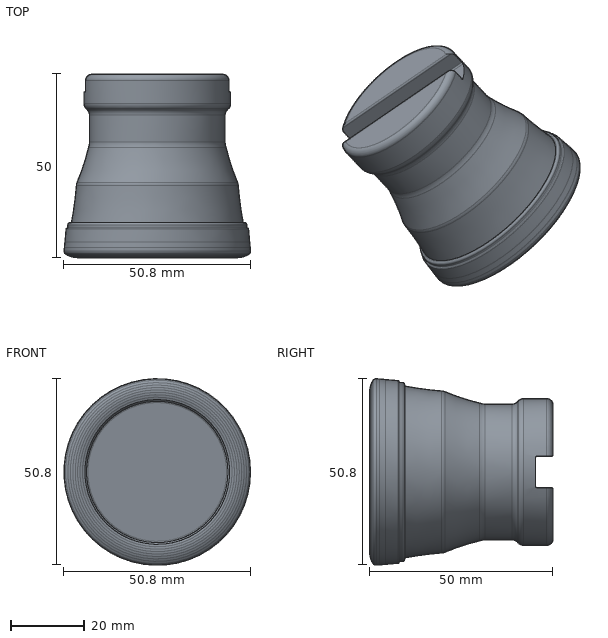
import cadquery as cq
import math

LENGTH = 50.01

COLLAR_RADIUS = 40.0 / 2
NECK_RADIUS = 37.0 / 2
BACK_EDGE_RADIUS = 1.8
COLLAR_FRONT_Y = 42.0
COLLAR_BLEND_RADIUS = 2.0
SHOULDER_ANGLE = math.radians(45)
NECK_FRONT_Y = 31.5

FLARE_BACK = (30.0, 18.78)
FLARE_MIDDLE = (25.3, 20.1)
FLARE_FRONT = (20.5, 21.9)
SKIRT_BACK = (19.65, 22.08)
SKIRT_MIDDLE = (14.75, 22.6)
SKIRT_FRONT = (9.6, 23.42)

STEP_RADIUS = 24.42
STEP_FRONT_Y = 8.05
STEP_EDGE_RADIUS = 0.7
STEP_ROOT_RADIUS = 0.2
RIM_BACK_RADIUS = 24.9
RIM_EDGE_RADIUS = RIM_BACK_RADIUS - STEP_RADIUS - STEP_ROOT_RADIUS
RIM_BAND_BACK = (4.35, 25.2)
RIM_BAND_FRONT = (2.77, 25.36)
RIM_FRONT = (1.85, 25.415)

LIP_CREST_RADIUS = 21.7
LIP_ROUND_RADIUS = 6.0
LIP_RING_WIDTH = 0.66
LIP_RINGS_OUTSIDE_CREST = 5
LIP_RINGS_INSIDE_CREST = 3
RECESS_SLOPE_RADIUS = 19.25
RECESS_RADIUS = 18.9
RECESS_SLOPE_Y = 0.75
RECESS_Y = 0.85

NOTCH_WIDTH = 8.5
NOTCH_DEPTH = 4.8
NOTCH_FLOOR_RADIUS = 0.4
NOTCH_MOUTH_RADIUS = 0.5


def at(y_and_radius):
    """Profile point in the XY plane: the radius lies along X."""
    y, radius = y_and_radius
    return (radius, y)


def round_offset(radius):
    """Offset of a quarter arc's midpoint from the sharp corner, along each axis."""
    return radius * (1 - math.sqrt(0.5))


def lip_ring_edges():
    """Profile points of the ring edges, from the outside of the lip inward."""
    edges = []
    for step in range(LIP_RINGS_OUTSIDE_CREST, -LIP_RINGS_INSIDE_CREST - 1, -1):
        offset = step * LIP_RING_WIDTH
        y = LIP_ROUND_RADIUS - math.sqrt(LIP_ROUND_RADIUS**2 - offset**2)
        edges.append((LIP_CREST_RADIUS + offset, y))
    return edges


def make_body():
    blend_drop = COLLAR_BLEND_RADIUS * (1 - math.cos(SHOULDER_ANGLE))
    blend_length = COLLAR_BLEND_RADIUS * math.sin(SHOULDER_ANGLE)
    cone_drop = COLLAR_RADIUS - NECK_RADIUS - 2 * blend_drop
    cone_back_y = COLLAR_FRONT_Y - blend_length
    cone_front_y = cone_back_y - cone_drop / math.tan(SHOULDER_ANGLE)
    neck_back_y = cone_front_y - blend_length

    back_offset = round_offset(BACK_EDGE_RADIUS)
    root_offset = round_offset(STEP_ROOT_RADIUS)
    step_offset = round_offset(STEP_EDGE_RADIUS)
    rim_offset = round_offset(RIM_EDGE_RADIUS)
    step_back_y = SKIRT_FRONT[0]
    lip_edges = lip_ring_edges()

    profile = (
        cq.Workplane("XY")
        .moveTo(0, RECESS_Y)
        .lineTo(0, LENGTH)
        .lineTo(COLLAR_RADIUS - BACK_EDGE_RADIUS, LENGTH)
        .threePointArc(
            (COLLAR_RADIUS - back_offset, LENGTH - back_offset),
            (COLLAR_RADIUS, LENGTH - BACK_EDGE_RADIUS),
        )
        .lineTo(COLLAR_RADIUS, COLLAR_FRONT_Y)
        .tangentArcPoint((COLLAR_RADIUS - blend_drop, cone_back_y), relative=False)
        .lineTo(NECK_RADIUS + blend_drop, cone_front_y)
        .tangentArcPoint((NECK_RADIUS, neck_back_y), relative=False)
        .lineTo(NECK_RADIUS, NECK_FRONT_Y)
        .tangentArcPoint(at(FLARE_BACK), relative=False)
        .threePointArc(at(FLARE_MIDDLE), at(FLARE_FRONT))
        .tangentArcPoint(at(SKIRT_BACK), relative=False)
        .threePointArc(at(SKIRT_MIDDLE), at(SKIRT_FRONT))
        .lineTo(STEP_RADIUS - STEP_EDGE_RADIUS, step_back_y)
        .threePointArc(
            (STEP_RADIUS - step_offset, step_back_y - step_offset),
            (STEP_RADIUS, step_back_y - STEP_EDGE_RADIUS),
        )
        .lineTo(STEP_RADIUS, STEP_FRONT_Y + STEP_ROOT_RADIUS)
        .threePointArc(
            (STEP_RADIUS + root_offset, STEP_FRONT_Y + root_offset),
            (STEP_RADIUS + STEP_ROOT_RADIUS, STEP_FRONT_Y),
        )
        .threePointArc(
            (RIM_BACK_RADIUS - rim_offset, STEP_FRONT_Y - rim_offset),
            (RIM_BACK_RADIUS, STEP_FRONT_Y - RIM_EDGE_RADIUS),
        )
        .lineTo(*at(RIM_BAND_BACK))
        .lineTo(*at(RIM_BAND_FRONT))
        .lineTo(*at(RIM_FRONT))
        .tangentArcPoint(lip_edges[0], relative=False)
        .polyline(lip_edges[1:], includeCurrent=True)
        .lineTo(RECESS_SLOPE_RADIUS, RECESS_SLOPE_Y)
        .lineTo(RECESS_RADIUS, RECESS_Y)
        .close()
    )
    return profile.revolve(360, (0, 0, 0), (0, 1, 0))


def cut_notch(body):
    half_width = NOTCH_WIDTH / 2
    floor_y = LENGTH - NOTCH_DEPTH
    floor_offset = round_offset(NOTCH_FLOOR_RADIUS)
    mouth_offset = round_offset(NOTCH_MOUTH_RADIUS)
    half_notch = (
        cq.Workplane("YZ")
        .moveTo(LENGTH, 0)
        .lineTo(floor_y, 0)
        .lineTo(floor_y, half_width - NOTCH_FLOOR_RADIUS)
        .threePointArc(
            (floor_y + floor_offset, half_width - floor_offset),
            (floor_y + NOTCH_FLOOR_RADIUS, half_width),
        )
        .lineTo(LENGTH - NOTCH_MOUTH_RADIUS, half_width)
        .threePointArc(
            (LENGTH - mouth_offset, half_width + mouth_offset),
            (LENGTH, half_width + NOTCH_MOUTH_RADIUS),
        )
        .close()
        .extrude(2 * COLLAR_RADIUS, both=True)
    )
    notch = half_notch.union(half_notch.mirror("XY"))
    return body.cut(notch)


result = cut_notch(make_body())